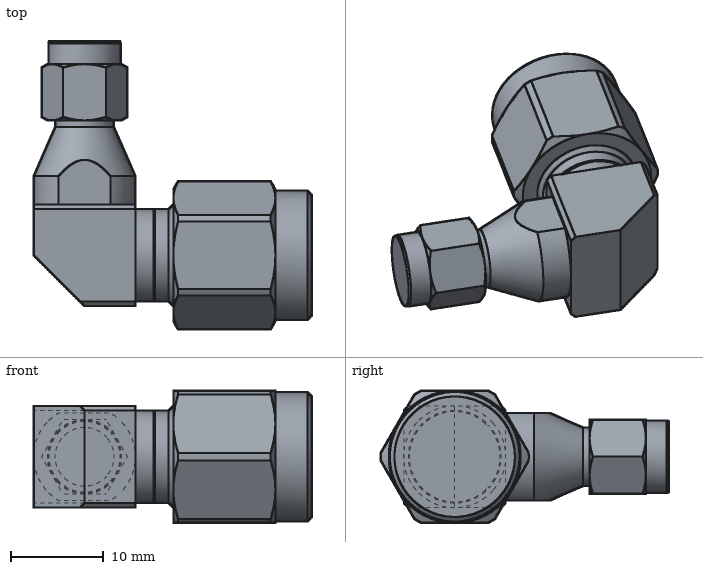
import cadquery as cq
import math


overall_length = 31.15
overall_width = 30.05

block_side = 11.0
block_half = block_side / 2
block_chamfer = 0.5

branch_radius = block_half
branch_flat_half_height = 4.75
taper_start = 8.57
taper_end = 13.85
branch_neck_radius = 3.18

small_hex_start = 14.58
small_hex_end = 20.65
small_across_flats = 8.05
small_sleeve_radius = 3.92
small_tip_length = 0.25
small_tip_depth = 0.1

neck_radius = 5.0
groove_start = 7.48
groove_width = 0.12
groove_depth = 0.12

large_hex_start = 9.6
large_hex_end = 20.62
large_nut_end = overall_width - block_half
large_across_flats = 14.27
large_corner_radius = 8.0
large_sleeve_radius = 7.0
large_tip_chamfer = 0.5
collar_start = groove_start + groove_width
collar_flare = 0.5

small_nut_end = overall_length - large_corner_radius

small_axis = cq.Plane(origin=(0, 0, 0), xDir=(1, 0, 0), normal=(0, 1, 0))
large_axis = cq.Plane(origin=(0, 0, 0), xDir=(0, 1, 0), normal=(1, 0, 0))


def corner_to_corner(across_flats):
    """Diameter of the circle through the corners of a hexagon."""
    return across_flats / math.cos(math.pi / 6)


def turned(axis, profile):
    """Revolve a closed (radius, distance along the axis) profile about the axis of a plane."""
    sketch_normal = axis.xDir.cross(axis.zDir)
    sketch_plane = cq.Plane(origin=(0, 0, 0), xDir=axis.xDir, normal=sketch_normal)
    return cq.Workplane(sketch_plane).polyline(profile).close().revolve(360, (0, 0, 0), (0, 1, 0))


def hex_section(axis, start, end, across_flats, corner_radius):
    """Hexagon turned to corner_radius, its ends chamfered at 30 degrees down to the flats."""
    flat_radius = across_flats / 2
    chamfer_length = (corner_radius - flat_radius) * math.tan(math.pi / 6)
    blank = turned(axis, [
        (0, start),
        (flat_radius, start),
        (corner_radius, start + chamfer_length),
        (corner_radius, end - chamfer_length),
        (flat_radius, end),
        (0, end),
    ])
    prism = (
        cq.Workplane(axis)
        .workplane(offset=start)
        .polygon(6, corner_to_corner(across_flats))
        .extrude(end - start)
    )
    return prism.intersect(blank)


def make_block():
    """Cube with its long outer edges chamfered and the outside of the bend cut off at 45 degrees."""
    cube = cq.Workplane("XY").box(block_side, block_side, block_side)
    cube = cube.edges("|X").chamfer(block_chamfer)
    bend_cut = (
        cq.Workplane("XY")
        .polyline([(-block_half, 0), (0, -block_half), (-block_half, -block_half)])
        .close()
        .extrude(block_half, both=True)
    )
    return cube.cut(bend_cut)


def make_branch():
    """Cylinder tapering to a neck, with a flat on its upper and lower sides."""
    branch = turned(small_axis, [
        (0, 0),
        (branch_radius, 0),
        (branch_radius, taper_start),
        (branch_neck_radius, taper_end),
        (branch_neck_radius, small_hex_start),
        (0, small_hex_start),
    ])
    between_flats = cq.Workplane("XY").box(
        2 * branch_radius, 2 * small_hex_start, 2 * branch_flat_half_height
    )
    beyond_block = (
        cq.Workplane(small_axis)
        .workplane(offset=block_half)
        .rect(block_side, block_side)
        .extrude(small_hex_start - block_half)
    )
    return branch.intersect(between_flats).intersect(beyond_block)


def make_neck():
    """Round neck ending in a narrow groove against the large nut's collar."""
    groove_radius = neck_radius - groove_depth
    return turned(large_axis, [
        (0, 0),
        (neck_radius, 0),
        (neck_radius, groove_start),
        (groove_radius, groove_start),
        (groove_radius, collar_start),
        (0, collar_start),
    ])


def make_elbow():
    return make_block().union(make_branch()).union(make_neck())


def make_small_nut():
    corner_radius = corner_to_corner(small_across_flats) / 2
    hexagon = hex_section(small_axis, small_hex_start, small_hex_end, small_across_flats, corner_radius)
    sleeve = turned(small_axis, [
        (0, small_hex_start),
        (small_sleeve_radius, small_hex_start),
        (small_sleeve_radius, small_nut_end - small_tip_length),
        (small_sleeve_radius - small_tip_depth, small_nut_end),
        (0, small_nut_end),
    ])
    return hexagon.union(sleeve)


def make_large_nut():
    hexagon = hex_section(large_axis, large_hex_start, large_hex_end, large_across_flats, large_corner_radius)
    collar_and_sleeve = turned(large_axis, [
        (0, collar_start),
        (neck_radius, collar_start),
        (neck_radius, large_hex_start - collar_flare),
        (neck_radius + collar_flare, large_hex_start),
        (large_sleeve_radius, large_hex_start),
        (large_sleeve_radius, large_nut_end - large_tip_chamfer),
        (large_sleeve_radius - large_tip_chamfer, large_nut_end),
        (0, large_nut_end),
    ])
    return hexagon.union(collar_and_sleeve)


elbow = make_elbow().solids()
small_nut = make_small_nut().solids()
large_nut = make_large_nut().solids()

result = cq.Compound.makeCompound([elbow.val(), small_nut.val(), large_nut.val()])